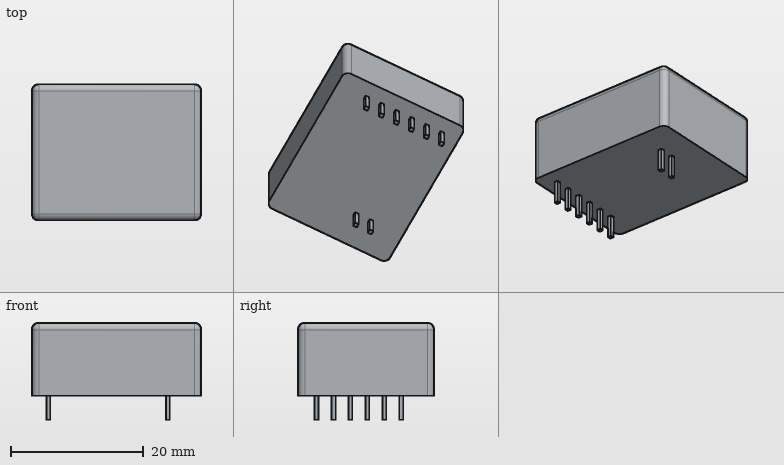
import cadquery as cq

housing_length = 25.5
housing_width = 20.5
housing_height = 11.02
edge_radius = 1.02

overall_height = 14.6
pin_side = 0.6
pin_length = overall_height - housing_height
pin_row_spacing = 17.98
left_row_x = -10.25
right_row_x = left_row_x + pin_row_spacing
left_pin_count = 6
left_pin_pitch = 2.55
left_first_y = -7.45
right_pin_count = 2
right_pin_pitch = 2.5
right_first_y = -4.85


def make_housing():
    """Box with rounded upright and top edges and a flat, sharp-edged underside."""
    box = cq.Workplane("XY").box(
        housing_length, housing_width, housing_height, centered=(True, True, False)
    )
    return box.edges("|Z or >Z").fillet(edge_radius)


def make_pin(x, y):
    """Square pin hanging from the underside of the housing."""
    return cq.Workplane("XY").center(x, y).rect(pin_side, pin_side).extrude(-pin_length)


def make_pin_row(x, first_y, pitch, count):
    """Separate pins spaced evenly along Y, starting from the front."""
    return [make_pin(x, first_y + index * pitch) for index in range(count)]


housing = make_housing()
left_pins = make_pin_row(left_row_x, left_first_y, left_pin_pitch, left_pin_count)
right_pins = make_pin_row(right_row_x, right_first_y, right_pin_pitch, right_pin_count)

result = cq.Compound.makeCompound(
    [housing.val(), *[pin.val() for pin in left_pins + right_pins]]
)